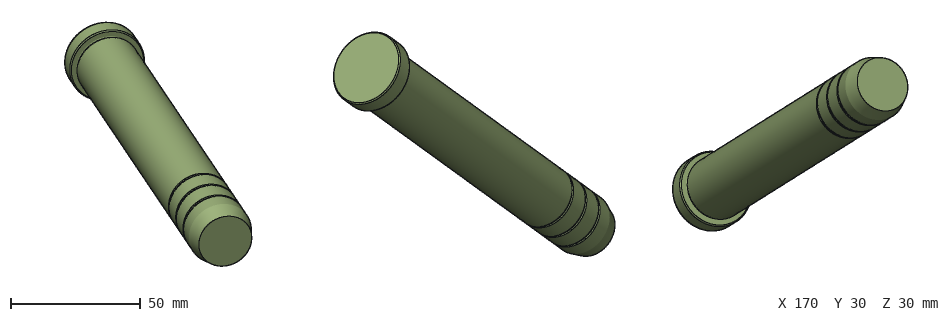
import cadquery as cq
import math

TOTAL_LENGTH = 170.0
HEAD_DIAMETER = 30.0
HEAD_LENGTH = 8.0
HEAD_CHAMFER = 0.5
SHANK_DIAMETER = 25.0
TAPER_LENGTH = 7.0
TAPER_ANGLE = 15.0
GROOVE_RADIUS = 0.5
GROOVE_COUNT = 3
GROOVE_PITCH = 10.0
FIRST_GROOVE_CENTRE = 135.0

HEAD_RADIUS = HEAD_DIAMETER / 2
SHANK_RADIUS = SHANK_DIAMETER / 2
TAPER_START = TOTAL_LENGTH - TAPER_LENGTH
TIP_RADIUS = SHANK_RADIUS - TAPER_LENGTH * math.tan(math.radians(TAPER_ANGLE))
RELIEF_CENTRE = HEAD_LENGTH + GROOVE_RADIUS


def revolve_about_axis(profile):
    """Turn a closed half-profile, drawn in the XZ plane, about the pin axis."""
    return profile.revolve(360, (0, 0, 0), (1, 0, 0))


def make_head():
    """Round head with both rims chamfered."""
    head = cq.Workplane("YZ").circle(HEAD_RADIUS).extrude(HEAD_LENGTH)
    return head.edges().chamfer(HEAD_CHAMFER)


def make_shank():
    """Cylindrical shank with a tapered lead-in at the free end."""
    profile = (
        cq.Workplane("XZ")
        .lineTo(0, SHANK_RADIUS)
        .lineTo(TAPER_START, SHANK_RADIUS)
        .lineTo(TOTAL_LENGTH, TIP_RADIUS)
        .lineTo(TOTAL_LENGTH, 0)
        .close()
    )
    return revolve_about_axis(profile)


def make_groove_ring(centre):
    """Ring of round section, centred on the shank surface, that cuts a half-round groove."""
    profile = cq.Workplane("XZ").moveTo(centre, SHANK_RADIUS).circle(GROOVE_RADIUS)
    return revolve_about_axis(profile)


groove_centres = [FIRST_GROOVE_CENTRE + index * GROOVE_PITCH for index in range(GROOVE_COUNT)]

result = make_head().union(make_shank())
for centre in [RELIEF_CENTRE] + groove_centres:
    result = result.cut(make_groove_ring(centre))